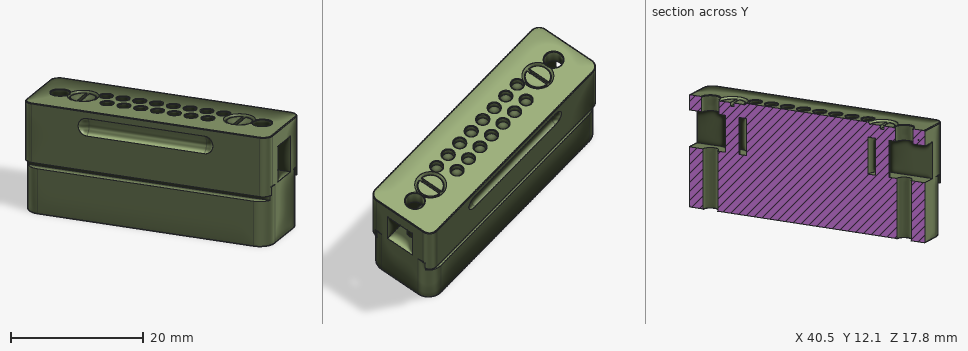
import cadquery as cq

LENGTH = 40.5
WIDTH = 12.07
HEIGHT = 17.8
EDGE_CHAMFER = 0.12
HOLE_CHAMFER = 0.12

BASE_CORNER_RADIUS = 2.47
SHOULDER_Z = 7.35
TONGUE_WIDTH = 9.45
TONGUE_TOP_Z = 9.55

HOOD_CORNER_RADIUS = 1.5
HOOD_BOTTOM_Z = 8.22
TONGUE_GAP = 0.14
CHANNEL_WIDTH = TONGUE_WIDTH + 2 * TONGUE_GAP

GROOVE_LENGTH = 22.2
GROOVE_HALF_HEIGHT = 1.4
GROOVE_DEPTH = 0.95
GROOVE_RADIUS = (GROOVE_HALF_HEIGHT**2 + GROOVE_DEPTH**2) / (2 * GROOVE_DEPTH)
GROOVE_Z = 15.25

SCREW_X = 12.9
SHANK_DIAMETER = 2.4
POCKET_WIDTH = 4.82
POCKET_TOP_Z = 15.3
COUNTERSINK_DIAMETER = 4.82
HEAD_RIM_DEPTH = 0.35
HEAD_CHAMFER = 0.12
SCREW_SLOT_WIDTH = 0.53
SCREW_SLOT_DEPTH = 0.8

GUIDE_X = 16.65
GUIDE_HOOD_DIAMETER = 2.9
GUIDE_BASE_DIAMETER = 2.45

LONG_ROW_COUNT = 8
LONG_ROW_LENGTH = 19.35
SOCKET_PITCH = LONG_ROW_LENGTH / (LONG_ROW_COUNT - 1)
ROW_SPACING = 2.85
SOCKET_DIAMETER = 1.9
SOCKET_DEPTH = 1.0


def rounded_block(bottom_z, top_z, corner_radius):
    """Full-size block between two heights with rounded upright corners."""
    block = cq.Workplane("XY").workplane(offset=bottom_z).rect(LENGTH, WIDTH).extrude(top_z - bottom_z)
    return block.edges("|Z").fillet(corner_radius)


def bar(width, bottom_z, top_z):
    """Plain bar of the full length, centred on the X axis."""
    return cq.Workplane("XY").workplane(offset=bottom_z).rect(LENGTH, width).extrude(top_z - bottom_z)


def cylinder(x, y, diameter, bottom_z, top_z):
    """Upright cylinder between two heights."""
    plane = cq.Workplane("XY").workplane(offset=bottom_z)
    return plane.center(x, y).circle(diameter / 2).extrude(top_z - bottom_z)


def top_cone(x, y, top_diameter, depth):
    """45-degree cone narrowing downward from the top face."""
    plane = cq.Workplane("XY").workplane(offset=HEIGHT).center(x, y)
    return plane.circle(top_diameter / 2).workplane(offset=-depth).circle(top_diameter / 2 - depth).loft()


def chamfered_hole(x, y, diameter, bottom_z):
    """Cutter for a hole from the top face with a chamfered rim."""
    rim = top_cone(x, y, diameter + 2 * HOLE_CHAMFER, HOLE_CHAMFER)
    return cylinder(x, y, diameter, bottom_z, HEIGHT).union(rim)


def make_base():
    lower = rounded_block(0, SHOULDER_Z, BASE_CORNER_RADIUS)
    lower = lower.faces("<Z").chamfer(EDGE_CHAMFER)
    tongue = rounded_block(0, TONGUE_TOP_Z, BASE_CORNER_RADIUS)
    tongue = tongue.intersect(bar(TONGUE_WIDTH, SHOULDER_Z, TONGUE_TOP_Z))
    base = lower.union(tongue)
    for x in (-GUIDE_X, GUIDE_X):
        base = base.cut(cylinder(x, 0, GUIDE_BASE_DIAMETER, 0, TONGUE_TOP_Z))
    return base


def make_hood():
    hood = rounded_block(HOOD_BOTTOM_Z, HEIGHT, HOOD_CORNER_RADIUS)
    hood = hood.faces(">Z").chamfer(EDGE_CHAMFER)
    hood = hood.cut(bar(CHANNEL_WIDTH, HOOD_BOTTOM_Z, TONGUE_TOP_Z))
    for side in (-1, 1):
        hood = hood.cut(finger_groove(side))
        hood = hood.cut(end_pocket(side))
        hood = hood.cut(chamfered_hole(side * GUIDE_X, 0, GUIDE_HOOD_DIAMETER, TONGUE_TOP_Z))
    return hood


def finger_groove(side):
    """Shallow round-bottomed groove with ball ends; side is -1 or 1 along Y."""
    straight_end = GROOVE_LENGTH / 2 - GROOVE_HALF_HEIGHT
    tip = straight_end + GROOVE_RADIUS
    capsule = (
        cq.Workplane("XY")
        .moveTo(-tip, 0)
        .radiusArc((-straight_end, GROOVE_RADIUS), GROOVE_RADIUS)
        .lineTo(straight_end, GROOVE_RADIUS)
        .radiusArc((tip, 0), GROOVE_RADIUS)
        .close()
        .revolve(360, (0, 0), (1, 0))
    )
    axis_y = WIDTH / 2 + GROOVE_RADIUS - GROOVE_DEPTH
    return capsule.translate((0, side * axis_y, GROOVE_Z))


def end_pocket(side):
    """Pocket open at one end, rounded concentrically with the screw."""
    plane = cq.Workplane("XY").workplane(offset=TONGUE_TOP_Z)
    run = LENGTH / 2 - SCREW_X
    depth = POCKET_TOP_Z - TONGUE_TOP_Z
    opening = plane.center(side * (SCREW_X + run / 2), 0).rect(run, POCKET_WIDTH).extrude(depth)
    return opening.union(cylinder(side * SCREW_X, 0, POCKET_WIDTH, TONGUE_TOP_Z, POCKET_TOP_Z))


def add_screw(body, x):
    """Shank across the pocket and a slotted head sunk in the top face."""
    body = body.union(cylinder(x, 0, SHANK_DIAMETER, TONGUE_TOP_Z, POCKET_TOP_Z))
    body = body.cut(top_cone(x, 0, COUNTERSINK_DIAMETER, HEAD_RIM_DEPTH))
    body = body.union(head_crown(x))
    slot = cq.Workplane("XY").workplane(offset=HEIGHT - SCREW_SLOT_DEPTH).center(x, 0)
    slot = slot.rect(SCREW_SLOT_WIDTH, COUNTERSINK_DIAMETER).extrude(SCREW_SLOT_DEPTH)
    return body.cut(slot.intersect(top_cone(x, 0, COUNTERSINK_DIAMETER, SCREW_SLOT_DEPTH)))


def head_crown(x):
    """Top of the screw head, with a chamfered edge that starts on the countersink wall."""
    rim_radius = COUNTERSINK_DIAMETER / 2 - HEAD_RIM_DEPTH
    plane = cq.Workplane("XY").workplane(offset=HEIGHT - HEAD_RIM_DEPTH).center(x, 0)
    return plane.circle(rim_radius).workplane(offset=HEAD_CHAMFER).circle(rim_radius - HEAD_CHAMFER).loft()


def socket_positions():
    rows = ((LONG_ROW_COUNT, ROW_SPACING / 2), (LONG_ROW_COUNT - 1, -ROW_SPACING / 2))
    return [((i - (count - 1) / 2) * SOCKET_PITCH, y) for count, y in rows for i in range(count)]


body = make_base().union(make_hood())
for screw_x in (-SCREW_X, SCREW_X):
    body = add_screw(body, screw_x)
for socket_x, socket_y in socket_positions():
    body = body.cut(chamfered_hole(socket_x, socket_y, SOCKET_DIAMETER, HEIGHT - SOCKET_DEPTH))

result = body